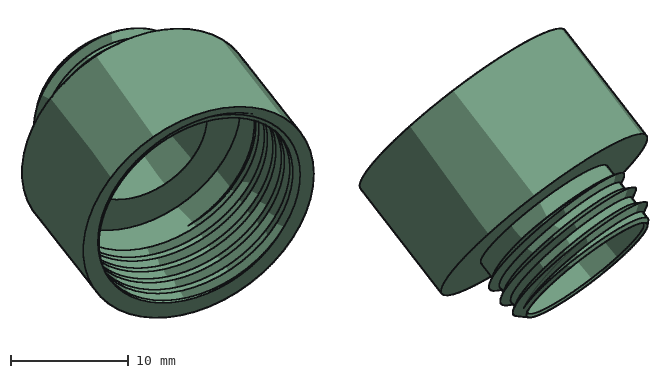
import cadquery as cq
import math

length = 17.5
collar_radius = 22 / 2
collar_start = 6.03
neck_radius = 13.55 / 2
neck_bore_radius = 12.45 / 2
neck_outer_chamfer = 0.3
neck_inner_chamfer = 0.22

socket_radius = 18.88 / 2
socket_floor = 6.86
socket_seam_turn = 37

pitch = 1.58
flank_slope = math.tan(math.radians(30))
root_overlap = 0.07

neck_thread_depth = 0.77
neck_thread_end = 4.58
neck_thread_crest = 1.08
neck_crest_clearance = 0.22

socket_thread_depth = 0.88
socket_thread_start = 9.4
socket_thread_valley = 11.18


def cylinder(radius, start, end):
    return cq.Workplane("YZ", origin=(start, 0, 0)).circle(radius).extrude(end - start)


def turned(points):
    """Revolve a closed outline of (x, radius) points about the X axis."""
    return cq.Workplane("XY").polyline(points).close().revolve(360, (0, 0, 0), (1, 0, 0))


def thread_winding(root_radius, depth, tip_x, start, end):
    """V section wound about X past both start and end, with one tip at tip_x on the +Z side."""
    first_tip = tip_x - pitch * math.ceil((tip_x - start) / pitch + 1)
    turns = math.ceil((end - first_tip) / pitch) + 1
    inner_radius = root_radius - root_overlap
    half_width = (depth + root_overlap) * flank_slope
    helix = cq.Wire.makeHelix(pitch, turns * pitch, inner_radius)
    winding = (
        cq.Workplane("XZ")
        .polyline([(inner_radius, -half_width), (root_radius + depth, 0), (inner_radius, half_width)])
        .close()
        .sweep(cq.Workplane(helix), isFrenet=True)
    )
    winding = winding.rotate((0, 0, 0), (0, 1, 0), 90).rotate((0, 0, 0), (1, 0, 0), 180)
    return winding.translate((first_tip, 0, 0))


def neck_blank(radius):
    """Solid blank of the threaded stretch, cut at its tip by the 45 degree lead-in cone of the neck."""
    tip_radius = neck_radius - neck_outer_chamfer
    return turned([
        (0, 0),
        (0, tip_radius),
        (radius - tip_radius, radius),
        (neck_thread_end, radius),
        (neck_thread_end, 0),
    ])


def neck():
    plain = neck_blank(neck_radius).union(cylinder(neck_radius, neck_thread_end, collar_start))
    envelope = neck_blank(neck_radius + neck_thread_depth + neck_crest_clearance)
    ridge = thread_winding(neck_radius, neck_thread_depth, neck_thread_crest, 0, neck_thread_end)
    return plain.union(ridge.intersect(envelope))


def neck_bore():
    return turned([
        (0, 0),
        (0, neck_bore_radius + neck_inner_chamfer),
        (neck_inner_chamfer, neck_bore_radius),
        (socket_floor, neck_bore_radius),
        (socket_floor, 0),
    ])


def socket():
    plain = cylinder(socket_radius, socket_floor, length).rotate((0, 0, 0), (1, 0, 0), socket_seam_turn)
    winding = thread_winding(
        socket_radius, socket_thread_depth, socket_thread_valley, socket_thread_start, length
    )
    groove = winding.intersect(cylinder(collar_radius, socket_thread_start, length))
    return plain.union(groove)


collar = cylinder(collar_radius, collar_start, length)
result = neck().union(collar).cut(neck_bore()).cut(socket())